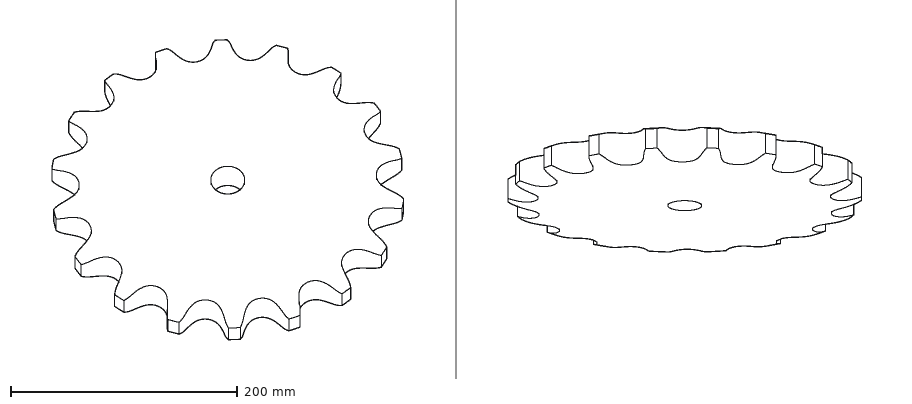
import cadquery as cq
import math


tooth_count = 18
pitch_radius = 146.2
roller_diameter = 29.0
seat_radius = 14.7
outer_radius = 156.5
thickness = 29.5
bore_diameter = 30.0
flat_face_radius = 132.5
rim_rounding_radius = 53.8

seat_end_base_angle = 35
seat_end_tooth_term = 60
working_base_angle = 18
working_tooth_term = 56
working_offset_ratio = 0.8
topping_offset_ratio = 1.4

half_step = math.pi / tooth_count
seat_end_angle = math.radians(seat_end_base_angle + seat_end_tooth_term / tooth_count)
working_arc_span = math.radians(working_base_angle - working_tooth_term / tooth_count)
working_centre_offset = working_offset_ratio * roller_diameter
topping_centre_offset = topping_offset_ratio * roller_diameter
working_radius = working_centre_offset + seat_radius


def polar(centre, radius, angle):
    """Point at a radius and angle (radians) from a centre."""
    return (centre[0] + radius * math.cos(angle), centre[1] + radius * math.sin(angle))


def angle_to(start, end):
    """Direction in radians from one point to another."""
    return math.atan2(end[1] - start[1], end[0] - start[0])


quarter_turn = math.pi / 2
roller_centre = (pitch_radius, 0)
gap_bottom = (pitch_radius - seat_radius, 0)

seat_end_direction = quarter_turn + seat_end_angle
seat_end = polar(roller_centre, seat_radius, seat_end_direction)

working_centre = polar(roller_centre, working_centre_offset, seat_end_direction - math.pi)
flank_direction = seat_end_direction - working_arc_span
working_middle = polar(working_centre, working_radius, seat_end_direction - working_arc_span / 2)
working_end = polar(working_centre, working_radius, flank_direction)

topping_centre = polar(roller_centre, topping_centre_offset, quarter_turn + half_step)
topping_start_direction = flank_direction - math.pi
centre_spacing = (topping_centre[0] - working_centre[0], topping_centre[1] - working_centre[1])
centre_distance_across_flank = (
    centre_spacing[0] * math.cos(flank_direction) + centre_spacing[1] * math.sin(flank_direction)
)
topping_radius = centre_distance_across_flank - working_radius
topping_start = polar(topping_centre, topping_radius, topping_start_direction)

topping_centre_radius = math.hypot(*topping_centre)
corner_offset_angle = math.acos(
    (topping_centre_radius**2 + outer_radius**2 - topping_radius**2)
    / (2 * topping_centre_radius * outer_radius)
)
tip_corner = polar((0, 0), outer_radius, angle_to((0, 0), topping_centre) - corner_offset_angle)
topping_middle_direction = (topping_start_direction + angle_to(topping_centre, tip_corner)) / 2
topping_middle = polar(topping_centre, topping_radius, topping_middle_direction)
tip_middle = polar((0, 0), outer_radius, half_step)


def turned(point, angle):
    """Point turned about the sprocket axis by an angle in radians."""
    return polar((0, 0), math.hypot(*point), angle_to((0, 0), point) + angle)


def mirrored(point):
    """Point mirrored across the first axis of its plane."""
    return (point[0], -point[1])


def tooth_outline():
    """Closed outline of all teeth: each step follows one gap and then the next tip."""
    outline = cq.Workplane("XY", origin=(0, 0, -thickness / 2))
    outline = outline.moveTo(*turned(mirrored(tip_corner), half_step))
    for index in range(tooth_count):
        gap_angle = (2 * index + 1) * half_step
        next_gap_angle = gap_angle + 2 * half_step

        def near(point):
            return turned(mirrored(point), gap_angle)

        def far(point):
            return turned(point, gap_angle)

        outline = (
            outline.threePointArc(near(topping_middle), near(topping_start))
            .lineTo(*near(working_end))
            .threePointArc(near(working_middle), near(seat_end))
            .threePointArc(turned(gap_bottom, gap_angle), far(seat_end))
            .threePointArc(far(working_middle), far(working_end))
            .lineTo(*far(topping_start))
            .threePointArc(far(topping_middle), far(tip_corner))
            .threePointArc(far(tip_middle), turned(mirrored(tip_corner), next_gap_angle))
        )
    return outline.close()


def rounded_blank():
    """Disc whose two faces curve towards each other outside the flat face."""
    half_thickness = thickness / 2
    rim_width = outer_radius - flat_face_radius
    rim_end_angle = math.asin(rim_width / rim_rounding_radius)

    def rim_point(angle):
        height = half_thickness - rim_rounding_radius * (1 - math.cos(angle))
        return (flat_face_radius + rim_rounding_radius * math.sin(angle), height)

    rim_middle = rim_point(rim_end_angle / 2)
    rim_end = rim_point(rim_end_angle)
    return (
        cq.Workplane("XZ")
        .moveTo(0, -half_thickness)
        .lineTo(flat_face_radius, -half_thickness)
        .threePointArc(mirrored(rim_middle), mirrored(rim_end))
        .lineTo(*rim_end)
        .threePointArc(rim_middle, (flat_face_radius, half_thickness))
        .lineTo(0, half_thickness)
        .close()
        .revolve(360, (0, 0, 0), (0, 1, 0))
    )


toothed_plate = tooth_outline().extrude(thickness)
result = toothed_plate.intersect(rounded_blank()).faces(">Z").workplane().hole(bore_diameter)